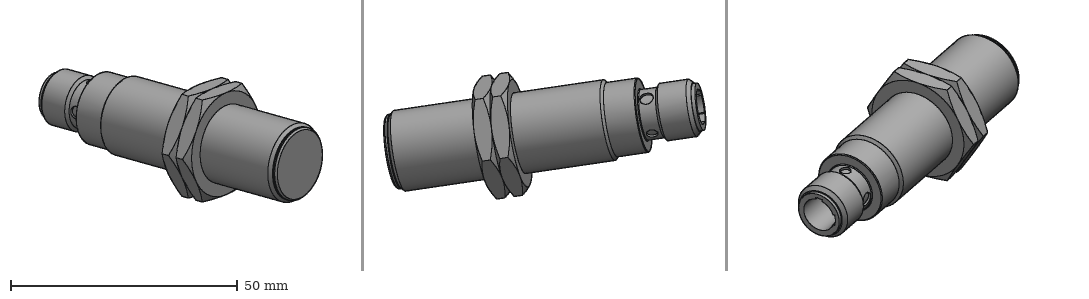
import cadquery as cq
import math


total_length = 70.0
tip_end = 0.85
lead_in_end = 1.75
thread_end = 8.25
neck_start = 8.9
shoulder_start = 12.9
body_start = 20.0
body_chamfer_length = 0.6
body_end = 68.2
end_chamfer_length = 0.8
cap_start = 69.15
cap_chamfer = 0.4

tip_radius = 5.3
lead_in_radius = 5.6
neck_radius = 5.7
connector_radius = 6.45
shoulder_radius = 8.3
body_radius = 9.0
cap_radius = shoulder_radius
cap_groove_depth = 0.15
shoulder_chamfer = 0.2
neck_root_chamfer = 0.2

socket_radius = 3.9
socket_depth = 8.4
top_key_width = 1.7
side_key_width = 2.6
key_end_radius = 4.35

recess_x = 10.9
recess_floor_radius = 5.1
side_recess_radius = 1.55
top_recess_radius = 1.25

nut_count = 2
nut_sides = 6
nut_start = 40.95
nut_thickness = 4.0
nut_across_flats = 24.0
nut_chamfer_angle = 30.0


def make_sensor_blank():
    """Turned outline of the sensor, revolved about the X axis."""
    groove_radius = cap_radius - cap_groove_depth
    groove_start = body_end + end_chamfer_length
    outline = [
        (0, 0),
        (0, tip_radius),
        (tip_end, tip_radius),
        (tip_end, lead_in_radius),
        (lead_in_end, connector_radius),
        (thread_end, connector_radius),
        (neck_start, neck_radius),
        (shoulder_start - neck_root_chamfer, neck_radius),
        (shoulder_start, neck_radius + neck_root_chamfer),
        (shoulder_start, shoulder_radius - shoulder_chamfer),
        (shoulder_start + shoulder_chamfer, shoulder_radius),
        (body_start, shoulder_radius),
        (body_start + body_chamfer_length, body_radius),
        (body_end, body_radius),
        (groove_start, cap_radius),
        (groove_start, groove_radius),
        (cap_start, groove_radius),
        (cap_start, cap_radius),
        (total_length - cap_chamfer, cap_radius),
        (total_length, cap_radius - cap_chamfer),
        (total_length, 0),
    ]
    return cq.Workplane("XY").polyline(outline).close().revolve(360, (0, 0, 0), (1, 0, 0))


def make_socket():
    """Blind round socket with key slots at +Z and -Y that end on a common concentric arc."""
    bore = cq.Workplane("YZ").circle(socket_radius).extrude(socket_depth)
    key_limit = cq.Workplane("YZ").circle(key_end_radius).extrude(socket_depth)
    top_key = cq.Workplane("XY").box(
        socket_depth, top_key_width, key_end_radius, centered=(False, True, False)
    )
    side_key = (
        cq.Workplane("XY")
        .box(socket_depth, key_end_radius, side_key_width, centered=(False, False, True))
        .translate((0, -key_end_radius, 0))
    )
    return bore.union(top_key.union(side_key).intersect(key_limit))


def make_neck_recesses():
    """Four shallow round recesses whose floors follow the neck's curvature."""
    side_drill = (
        cq.Workplane("XZ").center(recess_x, 0).circle(side_recess_radius).extrude(body_radius, both=True)
    )
    top_drill = (
        cq.Workplane("XY").center(recess_x, 0).circle(top_recess_radius).extrude(body_radius, both=True)
    )
    core = cq.Workplane("YZ").circle(recess_floor_radius).extrude(total_length)
    return side_drill.union(top_drill).cut(core)


def make_sensor():
    return make_sensor_blank().cut(make_socket()).cut(make_neck_recesses())


def make_nut(start):
    """Hexagonal nut with flats at +Z and -Z and corners chamfered on both faces."""
    flat_radius = nut_across_flats / 2
    corner_radius = flat_radius / math.cos(math.pi / nut_sides)
    chamfer_length = (corner_radius - flat_radius) * math.tan(math.radians(nut_chamfer_angle))
    hexagon = cq.Workplane("YZ").polygon(nut_sides, 2 * corner_radius).extrude(nut_thickness)
    chamfer_outline = [
        (0, 0),
        (0, flat_radius),
        (chamfer_length, corner_radius),
        (nut_thickness - chamfer_length, corner_radius),
        (nut_thickness, flat_radius),
        (nut_thickness, 0),
    ]
    envelope = cq.Workplane("XY").polyline(chamfer_outline).close().revolve(360, (0, 0, 0), (1, 0, 0))
    bore = cq.Workplane("YZ").circle(body_radius).extrude(nut_thickness)
    return hexagon.intersect(envelope).cut(bore).translate((start, 0, 0))


sensor = make_sensor()
nuts = [make_nut(nut_start + i * nut_thickness) for i in range(nut_count)]

result = cq.Compound.makeCompound([sensor.val(), *[nut.val() for nut in nuts]])